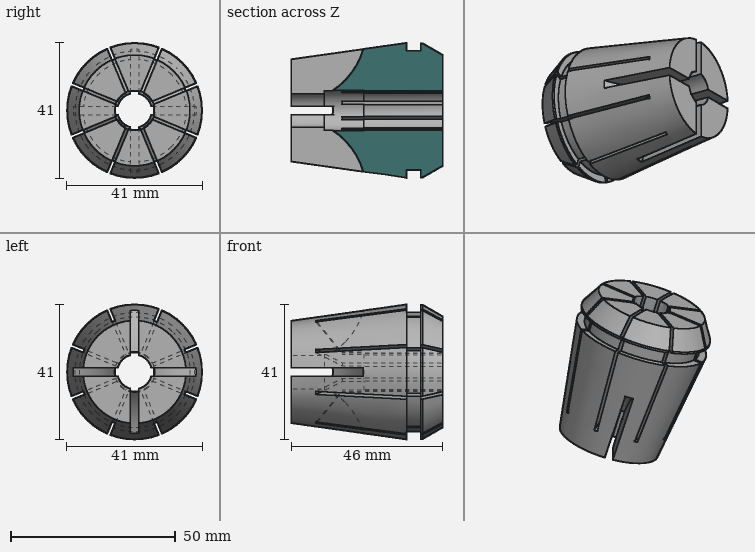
import cadquery as cq
import math

LENGTH = 46.0
MAX_RADIUS = 20.5
BODY_TAPER = 8.0
BODY_LENGTH = 35.0
GROOVE_END = 39.2
GROOVE_RADIUS = 18.1
FLANGE_RADIUS = 20.35
FLANGE_LAND = 0.65
NOSE_ANGLE = 30.0

PILOT_RADIUS = 5.2
PILOT_LENGTH = 10.0
RELIEF_RADIUS = 6.1
RELIEF_END = 22.0
CLAMP_RADIUS = 5.9

SLOT_COUNT = 4
SLOT_WIDTH = 2.5
CUTTER_RADIUS = 22.75
CUTTER_OFFSET = 25.0

SLIT_COUNT = 8
SLIT_WIDTH = 1.0
SLIT_START = 7.5
SLIT_END_ANGLE = 37.0

OVERCUT = 1.0


def cone_radius(x):
    """Radius of the long cone at a distance x from the small end."""
    return MAX_RADIUS - (BODY_LENGTH - x) * math.tan(math.radians(BODY_TAPER))


def collet_body():
    """Solid of revolution: long cone, groove, flange, nose cone and stepped bore."""
    nose_start = GROOVE_END + FLANGE_LAND
    nose_radius = FLANGE_RADIUS - (LENGTH - nose_start) * math.tan(math.radians(NOSE_ANGLE))
    profile = (
        cq.Workplane("XY")
        .moveTo(0, PILOT_RADIUS)
        .lineTo(0, cone_radius(0))
        .lineTo(BODY_LENGTH, MAX_RADIUS)
        .lineTo(BODY_LENGTH, GROOVE_RADIUS)
        .lineTo(GROOVE_END, GROOVE_RADIUS)
        .lineTo(GROOVE_END, FLANGE_RADIUS)
        .lineTo(nose_start, FLANGE_RADIUS)
        .lineTo(LENGTH, nose_radius)
        .lineTo(LENGTH, CLAMP_RADIUS)
        .lineTo(RELIEF_END, CLAMP_RADIUS)
        .lineTo(RELIEF_END, RELIEF_RADIUS)
        .lineTo(PILOT_LENGTH, RELIEF_RADIUS)
        .lineTo(PILOT_LENGTH, PILOT_RADIUS)
        .close()
    )
    return profile.revolve(360, (0, 0, 0), (1, 0, 0))


def slot_cutter():
    """Disc centred over the small end face, reaching into the bore."""
    return (
        cq.Workplane("XY")
        .center(0, CUTTER_OFFSET)
        .circle(CUTTER_RADIUS)
        .extrude(SLOT_WIDTH / 2, both=True)
    )


def slit_cutter():
    """Thin blade from the bore outwards, with a sloping closed end."""
    start_radius = cone_radius(SLIT_START)
    slope = math.tan(math.radians(SLIT_END_ANGLE))
    inner_radius = PILOT_RADIUS - OVERCUT
    outer_radius = MAX_RADIUS + OVERCUT
    inner_start = SLIT_START + (start_radius - inner_radius) * slope
    outer_start = SLIT_START + (start_radius - outer_radius) * slope
    blade_end = LENGTH + OVERCUT
    return (
        cq.Workplane("XY")
        .moveTo(inner_start, inner_radius)
        .lineTo(outer_start, outer_radius)
        .lineTo(blade_end, outer_radius)
        .lineTo(blade_end, inner_radius)
        .close()
        .extrude(SLIT_WIDTH / 2, both=True)
    )


def cut_around_axis(body, cutter, count, first_angle):
    """Repeat one cutter at equal steps around the X axis."""
    for index in range(count):
        angle = first_angle + index * 360 / count
        body = body.cut(cutter.rotate((0, 0, 0), (1, 0, 0), angle))
    return body


result = collet_body()
result = cut_around_axis(result, slot_cutter(), SLOT_COUNT, 0)
result = cut_around_axis(result, slit_cutter(), SLIT_COUNT, 180 / SLIT_COUNT)